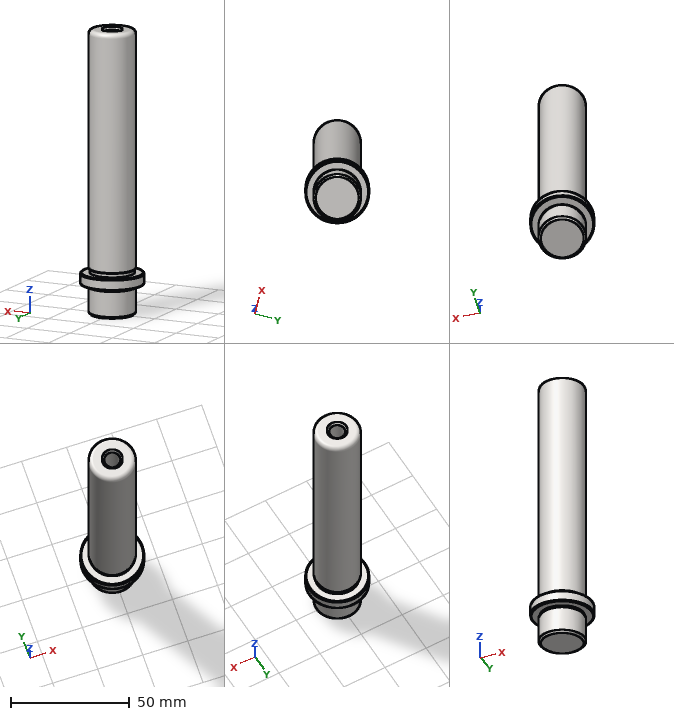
import cadquery as cq
import math

total_length = 123.0
pillar_diameter = 20.0
top_radius = 2.0
bottom_chamfer = 1.0

collar_diameter = 27.0
collar_bottom = 13.0
collar_thickness = 5.0
collar_chamfer = 0.5
collar_top = collar_bottom + collar_thickness

groove_diameter = 19.0
groove_taper_length = (pillar_diameter - groove_diameter) / 2
lower_groove_width = 1.2
upper_groove_width = 2.0

hole_diameter = 6.8
hole_depth = 20.0
countersink_diameter = 8.8
countersink_angle = 90.0
drill_point_angle = 118.0


def cylinder(diameter, bottom, height):
    """Solid cylinder on the Z axis."""
    return cq.Workplane("XY").workplane(offset=bottom).circle(diameter / 2).extrude(height)


def cone(bottom_diameter, top_diameter, bottom, height):
    """Solid truncated cone on the Z axis."""
    disc = cq.Workplane("XY").workplane(offset=bottom).circle(bottom_diameter / 2)
    return disc.workplane(offset=height).circle(top_diameter / 2).loft()


def make_pillar():
    """Shaft with a rounded top end and a chamfered bottom end."""
    shaft = cylinder(pillar_diameter, 0, total_length)
    shaft = shaft.faces(">Z").edges().fillet(top_radius)
    return shaft.faces("<Z").edges().chamfer(bottom_chamfer)


def make_collar():
    """Collar disc with both rims chamfered."""
    disc = cylinder(collar_diameter, collar_bottom, collar_thickness)
    return disc.faces("<Z or >Z").edges().chamfer(collar_chamfer)


def make_lower_groove():
    """Ring removed below the collar, its lower wall tapering out to the pillar."""
    bottom = collar_bottom - lower_groove_width
    floor_length = lower_groove_width - groove_taper_length
    ring = cylinder(pillar_diameter, bottom, lower_groove_width)
    taper = cone(pillar_diameter, groove_diameter, bottom, groove_taper_length)
    floor = cylinder(groove_diameter, bottom + groove_taper_length, floor_length)
    return ring.cut(taper).cut(floor)


def make_upper_groove():
    """Ring removed above the collar, its upper wall tapering out to the pillar."""
    floor_length = upper_groove_width - groove_taper_length
    ring = cylinder(pillar_diameter, collar_top, upper_groove_width)
    floor = cylinder(groove_diameter, collar_top, floor_length)
    taper = cone(groove_diameter, pillar_diameter, collar_top + floor_length, groove_taper_length)
    return ring.cut(floor).cut(taper)


def make_hole():
    """Countersunk blind hole with a conical drill point, revolved about Z."""
    hole_radius = hole_diameter / 2
    countersink_radius = countersink_diameter / 2
    half_angle = math.radians(countersink_angle / 2)
    countersink_depth = (countersink_radius - hole_radius) / math.tan(half_angle)
    point_length = hole_radius / math.tan(math.radians(drill_point_angle / 2))
    hole_floor = total_length - hole_depth
    profile = (
        cq.Workplane("XZ")
        .moveTo(0, total_length)
        .lineTo(countersink_radius, total_length)
        .lineTo(hole_radius, total_length - countersink_depth)
        .lineTo(hole_radius, hole_floor)
        .lineTo(0, hole_floor - point_length)
        .close()
    )
    return profile.revolve(360, (0, 0, 0), (0, 1, 0))


result = (
    make_pillar()
    .cut(make_lower_groove())
    .cut(make_upper_groove())
    .union(make_collar())
    .cut(make_hole())
)